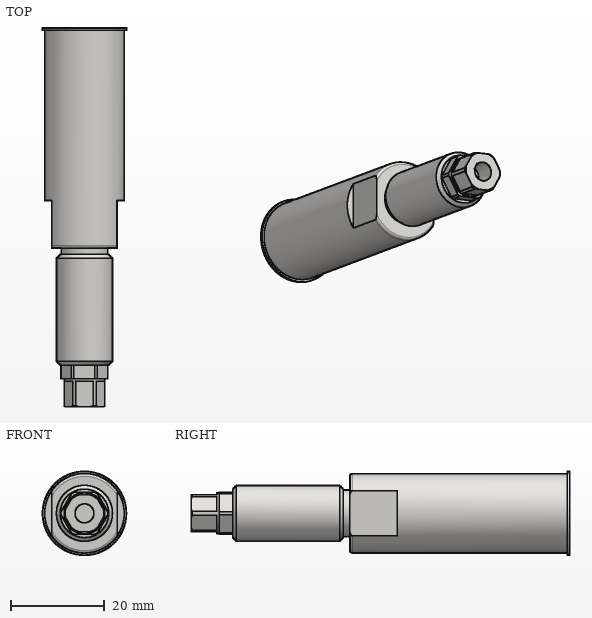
import cadquery as cq

total_length = 81.0
flange_thickness = 0.6
flats_start = 36.9
body_end = 47.1
neck_end = 48.4
shank_end = 72.1
large_hex_end = 75.0
small_hex_start = 75.5

flange_dia = 18.0
body_dia = 17.0
neck_dia = 10.05
shank_dia = 12.0
large_hex_dia = neck_dia
small_hex_dia = 8.75
bore_dia = 4.05

body_flats = 14.0
large_hex_flats = 9.0
small_hex_flats = 7.9

body_fillet = 0.6
shank_chamfer = 0.8
tip_chamfer = 0.25

bore_depth = total_length - small_hex_start


def cross_plane(station):
    """Workplane across the axis; extruding from it runs towards the tip (-Y)."""
    return cq.Workplane("XZ", origin=(0, total_length - station, 0))


def section(start, end, dia):
    """Round bar along the axis between two stations."""
    return cross_plane(start).circle(dia / 2).extrude(end - start)


def hex_section(bar, start, end, across_flats):
    """Mill a round bar to a hexagon with two of its flats facing +Z and -Z."""
    flats_up = cross_plane(start).transformed(rotate=(0, 0, 30))
    prism = flats_up.polygon(6, across_flats, circumscribed=True).extrude(end - start)
    return bar.intersect(prism)


def make_body():
    """Flanged cylinder with a rounded front edge and two wrench flats on the X sides."""
    body = section(0, body_end, body_dia).faces("<Y").edges().fillet(body_fillet)
    across_flats = cross_plane(flats_start).rect(body_flats, flange_dia).extrude(body_end - flats_start)
    waste = section(flats_start, body_end, flange_dia).cut(across_flats)
    return body.cut(waste).union(section(0, flange_thickness, flange_dia))


def make_shank():
    """Round shank chamfered at both ends, with a narrower neck behind it."""
    shank = section(neck_end, shank_end, shank_dia)
    shank = shank.faces("<Y or >Y").edges().chamfer(shank_chamfer)
    return shank.union(section(body_end, neck_end, neck_dia))


def make_tip():
    """Large hexagon, round collar and small hexagon with a blind bore in its end."""
    large_bar = section(shank_end, large_hex_end, large_hex_dia)
    large_hex = hex_section(large_bar, shank_end, large_hex_end, large_hex_flats)
    collar = section(large_hex_end, small_hex_start, small_hex_dia)
    small_bar = section(small_hex_start, total_length, small_hex_dia)
    small_bar = small_bar.faces("<Y").edges().chamfer(tip_chamfer)
    small_hex = hex_section(small_bar, small_hex_start, total_length, small_hex_flats)
    bore = section(total_length - bore_depth, total_length, bore_dia)
    return large_hex.union(collar).union(small_hex).cut(bore)


result = make_body().union(make_shank()).union(make_tip())